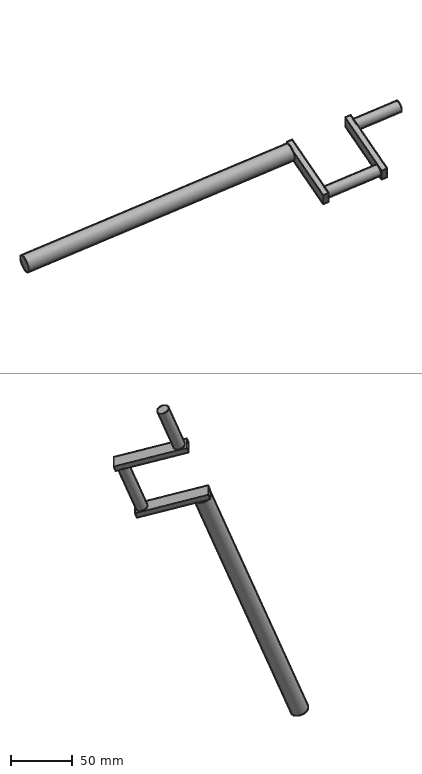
import cadquery as cq

total_length = 344.0
handle_length = 244.5
web_thickness = 5.0
crank_pin_length = 48.5

handle_diameter = 15.0
shaft_diameter = 10.0

overall_width = 63.5
web_height = 11.7
web_length = 62.5
pin_axis_inset = 6.0

web_end_x = overall_width - handle_diameter / 2
web_start_x = web_end_x - web_length
pin_x = web_end_x - pin_axis_inset

front_web_y = handle_length
pin_y = front_web_y + web_thickness
rear_web_y = pin_y + crank_pin_length
tail_y = rear_web_y + web_thickness
tail_length = total_length - tail_y


def round_bar(diameter, x, start_y, length):
    """Solid cylinder running along +Y from start_y."""
    return (
        cq.Workplane("XZ", origin=(x, start_y, 0))
        .circle(diameter / 2)
        .extrude(-length)
    )


def web(start_y):
    """Rectangular arm linking the main axis to the crank pin."""
    return cq.Workplane("XY").box(
        web_length, web_thickness, web_height, centered=(False, False, True)
    ).translate((web_start_x, start_y, 0))


result = (
    round_bar(handle_diameter, 0, 0, handle_length)
    .union(web(front_web_y))
    .union(round_bar(shaft_diameter, pin_x, pin_y, crank_pin_length))
    .union(web(rear_web_y))
    .union(round_bar(shaft_diameter, 0, tail_y, tail_length))
)